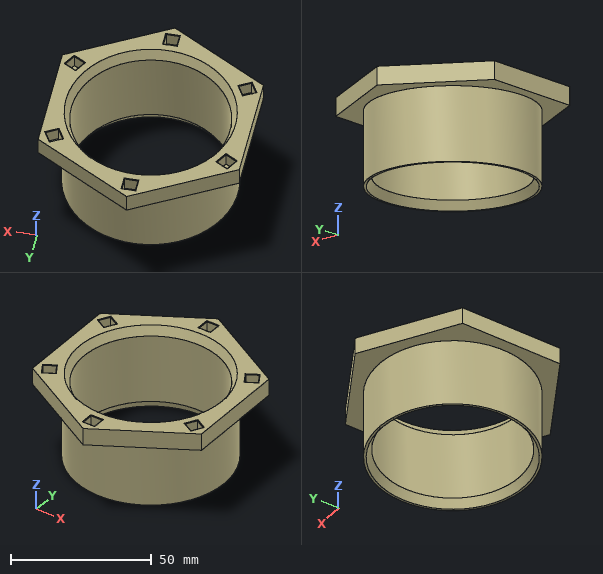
import cadquery as cq

hex_sides = 6
hex_corner_diameter = 84.4
total_height = 35.0
flange_thickness = 7.0
sleeve_diameter = 63.5

bore_diameter = 57.5
flare_diameter = 61.5
flare_depth = 3.5

pocket_count = hex_sides
pocket_width = 4.8
pocket_chamfer = 0.25
pocket_chamfer_angle = 45
pocket_depth = 5.0
pocket_circle_radius = 36.1

bore_radius = bore_diameter / 2
flare_radius = flare_diameter / 2
flange_bottom = total_height - flange_thickness
first_corner_angle = 90


def make_body():
    """Round sleeve under a hexagonal flange with corners on the Y axis."""
    sleeve = cq.Workplane("XY").circle(sleeve_diameter / 2).extrude(total_height)
    flange = (
        cq.Workplane("XY")
        .polygon(hex_sides, hex_corner_diameter)
        .extrude(flange_thickness)
        .rotate((0, 0, 0), (0, 0, 1), first_corner_angle)
        .translate((0, 0, flange_bottom))
    )
    return sleeve.union(flange)


def make_bore():
    """Half profile of the bore and its end flares, revolved about Z."""
    profile = [
        (0, 0),
        (flare_radius, 0),
        (bore_radius, flare_depth),
        (bore_radius, total_height - flare_depth),
        (flare_radius, total_height),
        (0, total_height),
    ]
    return cq.Workplane("XZ").polyline(profile).close().revolve(360, (0, 0, 0), (0, 1, 0))


def pocket_centres(height):
    """Workplane at a height, with a point near each flange corner facing the axis."""
    return (
        cq.Workplane("XY")
        .workplane(offset=height)
        .polarArray(pocket_circle_radius, first_corner_angle, 360, pocket_count)
    )


def make_pockets():
    """Straight square pockets with a chamfer around each mouth."""
    mouth_width = pocket_width + 2 * pocket_chamfer
    shafts = pocket_centres(total_height).rect(pocket_width, pocket_width).extrude(-pocket_depth)
    mouths = (
        pocket_centres(total_height)
        .rect(mouth_width, mouth_width)
        .extrude(-pocket_chamfer, taper=pocket_chamfer_angle)
    )
    return shafts.union(mouths)


result = make_body().cut(make_bore()).cut(make_pockets())